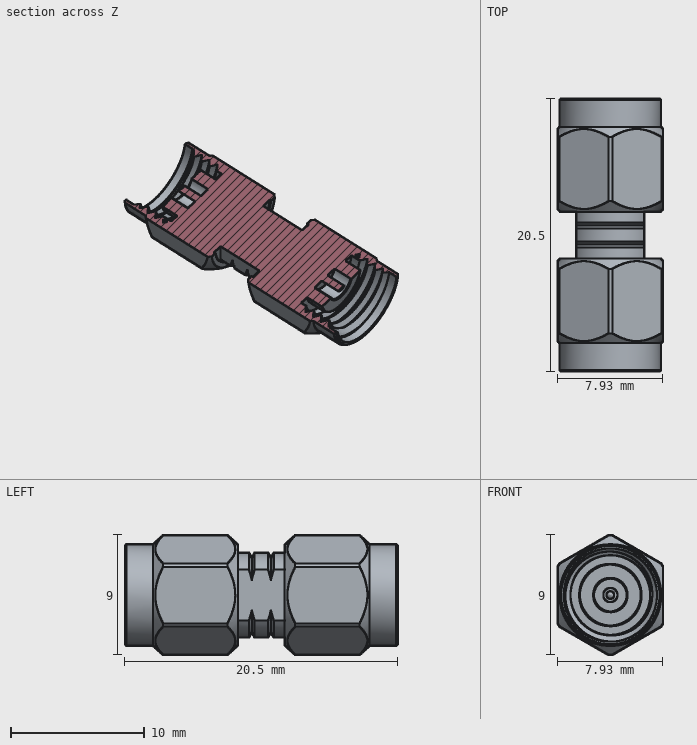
import cadquery as cq
import math

TOTAL_LENGTH = 20.5
HALF_LENGTH = TOTAL_LENGTH / 2

HEX_ACROSS_FLATS = 7.93
HEX_CORNER_RADIUS = 4.5
NUT_INNER_Y = 1.75
HEX_OUTER_Y = 8.18
COLLAR_RADIUS = 3.823
HEX_END_RADIUS = 3.77
HEX_CHAMFER_LENGTH = 0.8
RIM_CHAMFER = 0.12
NUT_BACK_RECESS_RADIUS = 3.32
NUT_BACK_RECESS_DEPTH = 0.12

MOUTH_RADIUS = 3.5
THREAD_MAJOR_RADIUS = 3.48
THREAD_MINOR_RADIUS = 3.0
THREAD_PITCH = 0.75
THREAD_CREST_WIDTH = 0.08
THREAD_START_DEPTH = -0.2
MOUTH_DEPTH = 0.72
SOCKET_DEPTH = 3.94
SOCKET_SEAM_ANGLE = 150

TUBE_RADIUS = 2.347
TUBE_BORE_RADIUS = 1.23
TUBE_CHAMFER = 0.06
TUBE_FACE_DEPTH = 2.5
TUBE_BORE_DEPTH = 4.1
PIN_RADIUS = 0.29
PIN_BASE_RADIUS = 0.53
PIN_BASE_DEPTH = 2.5
PIN_TIP_DEPTH = 1.1
PIN_TIP_LENGTH = 0.16

BARREL_RADIUS = 3.2
BARREL_ACROSS_FLATS = 5.12
GROOVE_Y = 0.72
GROOVE_WIDTH = 0.43
GROOVE_DEPTH = 0.39


def revolve_about_y(points):
    """Turn a closed (radius, y) outline about the Y axis."""
    return cq.Workplane("ZY").polyline(points).close().revolve(360, (0, 0, 0), (0, 1, 0))


def cylinder(radius, y_start, y_end):
    return revolve_about_y([(0, y_start), (radius, y_start), (radius, y_end), (0, y_end)])


def from_mouth(depth):
    """Y position at a depth below the mouth of the -Y end."""
    return depth - HALF_LENGTH


def hexagon():
    """Hexagon with two flats across X and both ends chamfered at the corners."""
    across_corners = HEX_ACROSS_FLATS / math.cos(math.pi / 6)
    prism = (
        cq.Workplane("XZ", origin=(0, -NUT_INNER_Y, 0))
        .polygon(6, across_corners)
        .extrude(HEX_OUTER_Y - NUT_INNER_Y)
        .rotate((0, 0, 0), (0, 1, 0), 30)
    )
    turned = revolve_about_y([
        (0, -HEX_OUTER_Y),
        (HEX_END_RADIUS, -HEX_OUTER_Y),
        (HEX_CORNER_RADIUS, -HEX_OUTER_Y + HEX_CHAMFER_LENGTH),
        (HEX_CORNER_RADIUS, -NUT_INNER_Y - HEX_CHAMFER_LENGTH),
        (HEX_END_RADIUS, -NUT_INNER_Y),
        (0, -NUT_INNER_Y),
    ])
    return prism.intersect(turned)


def nut():
    """Solid coupling nut of the -Y end, still without its socket."""
    collar = cylinder(COLLAR_RADIUS, -HALF_LENGTH, -NUT_INNER_Y - HEX_CHAMFER_LENGTH)
    collar = collar.faces("<Y").chamfer(RIM_CHAMFER)
    back_recess = cylinder(NUT_BACK_RECESS_RADIUS, -NUT_INNER_Y - NUT_BACK_RECESS_DEPTH, -NUT_INNER_Y)
    return hexagon().union(collar).cut(back_recess)


def thread_groove():
    """Right-hand V groove that starts in front of the mouth and stops at the socket floor."""
    length = SOCKET_DEPTH - THREAD_PITCH / 2 - THREAD_START_DEPTH
    half_width = (THREAD_PITCH - THREAD_CREST_WIDTH) / 2
    slope = half_width / (THREAD_MAJOR_RADIUS - THREAD_MINOR_RADIUS)
    overlap = 0.02
    open_half_width = half_width + slope * overlap
    helix = cq.Wire.makeHelix(THREAD_PITCH, length, THREAD_MINOR_RADIUS)
    groove = (
        cq.Workplane("XZ")
        .moveTo(THREAD_MINOR_RADIUS - overlap, -open_half_width)
        .lineTo(THREAD_MAJOR_RADIUS, 0)
        .lineTo(THREAD_MINOR_RADIUS - overlap, open_half_width)
        .close()
        .sweep(cq.Workplane(obj=helix), isFrenet=True)
    )
    return groove.rotate((0, 0, 0), (1, 0, 0), -90).translate((0, from_mouth(THREAD_START_DEPTH), 0))


def socket():
    """Space inside the nut, around the contact tube and the stepped centre pin."""
    lead_in_depth = MOUTH_DEPTH + MOUTH_RADIUS - THREAD_MINOR_RADIUS
    tube_shoulder_depth = TUBE_FACE_DEPTH + TUBE_CHAMFER
    outline = [
        (0, 0),
        (MOUTH_RADIUS, 0),
        (MOUTH_RADIUS, MOUTH_DEPTH),
        (THREAD_MINOR_RADIUS, lead_in_depth),
        (THREAD_MINOR_RADIUS, SOCKET_DEPTH),
        (TUBE_RADIUS, SOCKET_DEPTH),
        (TUBE_RADIUS, tube_shoulder_depth),
        (TUBE_RADIUS - TUBE_CHAMFER, TUBE_FACE_DEPTH),
        (TUBE_BORE_RADIUS + TUBE_CHAMFER, TUBE_FACE_DEPTH),
        (TUBE_BORE_RADIUS, tube_shoulder_depth),
        (TUBE_BORE_RADIUS, TUBE_BORE_DEPTH),
        (PIN_BASE_RADIUS, TUBE_BORE_DEPTH),
        (PIN_BASE_RADIUS, PIN_BASE_DEPTH),
        (PIN_RADIUS, PIN_BASE_DEPTH),
        (PIN_RADIUS, PIN_TIP_DEPTH + PIN_TIP_LENGTH),
        (0, PIN_TIP_DEPTH),
    ]
    turned = revolve_about_y([(radius, from_mouth(depth)) for radius, depth in outline])
    return turned.rotate((0, 0, 0), (0, 1, 0), SOCKET_SEAM_ANGLE)


def barrel():
    """Round barrel with two flats across X and two V grooves."""
    half = NUT_INNER_Y + NUT_BACK_RECESS_DEPTH
    body = cylinder(BARREL_RADIUS, -half, half)
    for y in (-GROOVE_Y, GROOVE_Y):
        body = body.cut(revolve_about_y([
            (BARREL_RADIUS, y - GROOVE_WIDTH / 2),
            (BARREL_RADIUS - GROOVE_DEPTH, y),
            (BARREL_RADIUS, y + GROOVE_WIDTH / 2),
        ]))
    return body.intersect(cq.Workplane("XY").box(BARREL_ACROSS_FLATS, 2 * half, 2 * BARREL_RADIUS))


result = barrel()
for turn in (0, 180):
    result = result.union(nut().rotate((0, 0, 0), (0, 0, 1), turn))
for turn in (0, 180):
    result = result.cut(thread_groove().rotate((0, 0, 0), (0, 0, 1), turn))
    result = result.cut(socket().rotate((0, 0, 0), (0, 0, 1), turn))